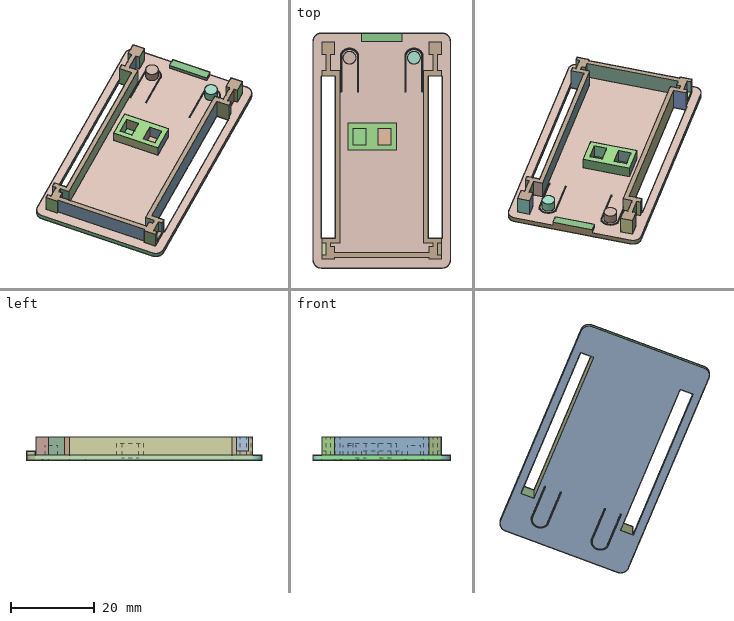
import cadquery as cq

PLATE_WIDTH = 32.9
PLATE_LENGTH = 56.2
PLATE_THICKNESS = 1.25
CORNER_RADIUS = 2.0

TOP_Z = 5.6
WALL_THICKNESS = 1.1
POST_SIZE = 3.0
POST_OUTER_X = 14.3
POST_OUTER_Y = 25.9
POST_INNER_X = POST_OUTER_X - POST_SIZE
POST_INNER_Y = POST_OUTER_Y - POST_SIZE
SIDE_WALL_OUTER_X = 11.1
SIDE_WALL_INNER_X = SIDE_WALL_OUTER_X - WALL_THICKNESS
RIB_OUTER_X = 13.4
RIB_INNER_X = RIB_OUTER_X - WALL_THICKNESS
END_WALL_OUTER_Y = -25.5
END_WALL_INNER_Y = END_WALL_OUTER_Y + WALL_THICKNESS

WINDOW_OUTER_X = 14.45
WINDOW_BACK_Y = 17.8
WINDOW_FRONT_Y = -20.9
BACK_FLANGE_Y = 19.1
FRONT_FLANGE_Y = WINDOW_FRONT_Y - WALL_THICKNESS

POCKET_FRONT_Y = -24.95
POCKET_FLOOR_Z = 2.2

LIP_LENGTH = 9.8
LIP_WIDTH = 2.0
LIP_TOP_Z = POCKET_FLOOR_Z

PIN_X = 7.7
PIN_Y = 22.2
PIN_RADIUS = 1.5
PIN_TOP_Z = 3.55
SLOT_ARC_RADIUS = 2.25
SLOT_HALF_WIDTH = 2.15
SLOT_GAP = 0.2
SLOT_FRONT_Y = 14.05

BLOCK_MIN_X = -8.05
BLOCK_MAX_X = 3.5
BLOCK_MIN_Y = 0.15
BLOCK_MAX_Y = 6.65
BLOCK_TOP_Z = 4.0
WELL_WIDTH = 3.1
WELL_MIN_Y = 1.35
WELL_MAX_Y = 5.3
WELL_FLOOR_Z = PLATE_THICKNESS / 2
WELL_CENTRES_X = (-5.35, 0.7)


def box(x0, x1, y0, y1, z0, z1):
    """Box spanning the given limits on each axis."""
    return cq.Workplane("XY").box(x1 - x0, y1 - y0, z1 - z0, centered=False).translate((x0, y0, z0))


def upright(x0, x1, y0, y1):
    """Full-height box standing on the underside plane of the plate."""
    return box(x0, x1, y0, y1, 0, TOP_Z)


def both_sides(shape):
    """The shape together with its mirror image across the centre plane X = 0."""
    return shape.union(shape.mirror("YZ"))


def base_plate():
    plate = cq.Workplane("XY").box(PLATE_WIDTH, PLATE_LENGTH, PLATE_THICKNESS, centered=(True, True, False))
    plate = plate.edges("|Z").fillet(CORNER_RADIUS)
    window = box(SIDE_WALL_OUTER_X, WINDOW_OUTER_X, WINDOW_FRONT_Y, WINDOW_BACK_Y, 0, PLATE_THICKNESS)
    return plate.cut(both_sides(window))


def side_frame():
    """Side wall on +X with its flanges, ribs and corner posts."""
    frame = upright(SIDE_WALL_INNER_X, SIDE_WALL_OUTER_X, FRONT_FLANGE_Y, BACK_FLANGE_Y)
    frame = frame.union(upright(SIDE_WALL_INNER_X, POST_OUTER_X, WINDOW_BACK_Y, BACK_FLANGE_Y))
    frame = frame.union(upright(SIDE_WALL_INNER_X, POST_OUTER_X, FRONT_FLANGE_Y, WINDOW_FRONT_Y))
    frame = frame.union(upright(RIB_INNER_X, RIB_OUTER_X, BACK_FLANGE_Y, POST_INNER_Y))
    frame = frame.union(upright(POST_INNER_X, POST_OUTER_X, POST_INNER_Y, POST_OUTER_Y))
    frame = frame.union(upright(POST_INNER_X, POST_OUTER_X, -POST_OUTER_Y, -POST_INNER_Y))
    frame = frame.union(upright(RIB_INNER_X, POST_OUTER_X, -POST_INNER_Y, FRONT_FLANGE_Y))
    pocket = box(RIB_OUTER_X, POST_OUTER_X, POCKET_FRONT_Y, FRONT_FLANGE_Y, POCKET_FLOOR_Z, TOP_Z)
    return frame.cut(pocket)


def end_wall():
    return upright(-POST_INNER_X, POST_INNER_X, END_WALL_OUTER_Y, END_WALL_INNER_Y)


def lip():
    back_y = PLATE_LENGTH / 2
    return box(-LIP_LENGTH / 2, LIP_LENGTH / 2, back_y - LIP_WIDTH, back_y, 0, LIP_TOP_Z)


def pin():
    return cq.Workplane("XY").center(PIN_X, PIN_Y).circle(PIN_RADIUS).extrude(PIN_TOP_Z)


def tongue(half_width, arc_radius):
    """Straight strip with a rounded back end, concentric with the pin."""
    end_rise = (arc_radius**2 - half_width**2) ** 0.5
    return (
        cq.Workplane("XY")
        .moveTo(PIN_X - half_width, SLOT_FRONT_Y)
        .lineTo(PIN_X + half_width, SLOT_FRONT_Y)
        .lineTo(PIN_X + half_width, PIN_Y + end_rise)
        .threePointArc((PIN_X, PIN_Y + arc_radius), (PIN_X - half_width, PIN_Y + end_rise))
        .close()
        .extrude(PLATE_THICKNESS)
    )


def tongue_slot():
    outer = tongue(SLOT_HALF_WIDTH, SLOT_ARC_RADIUS)
    inner = tongue(SLOT_HALF_WIDTH - SLOT_GAP, SLOT_ARC_RADIUS - SLOT_GAP)
    return outer.cut(inner)


def well_block():
    return box(BLOCK_MIN_X, BLOCK_MAX_X, BLOCK_MIN_Y, BLOCK_MAX_Y, PLATE_THICKNESS, BLOCK_TOP_Z)


def well(centre_x):
    """Blind well running down through the block into the plate."""
    half_width = WELL_WIDTH / 2
    return box(
        centre_x - half_width, centre_x + half_width, WELL_MIN_Y, WELL_MAX_Y, WELL_FLOOR_Z, BLOCK_TOP_Z
    )


result = (
    base_plate()
    .cut(both_sides(tongue_slot()))
    .union(both_sides(side_frame()))
    .union(end_wall())
    .union(lip())
    .union(both_sides(pin()))
    .union(well_block())
)
for well_x in WELL_CENTRES_X:
    result = result.cut(well(well_x))